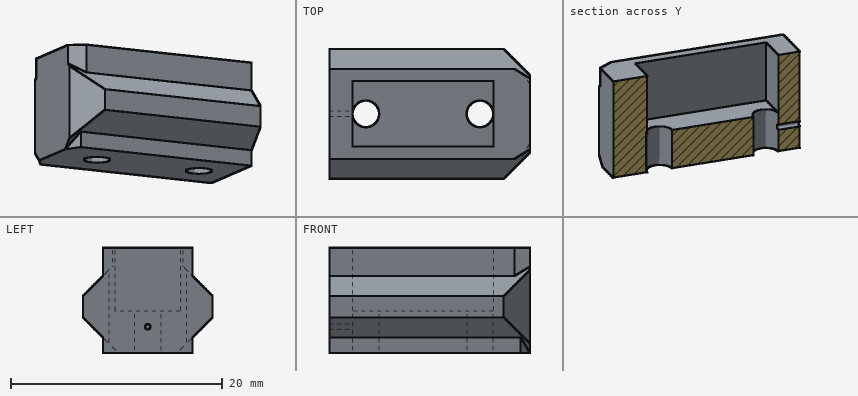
import cadquery as cq

length = 19.0
width = 12.3
height = 10.0

body_width = 8.5
wing_slope_bottom = 1.5
wing_slope_top = 7.3
wing_reach = (width - body_width) / 2
wing_face_bottom = wing_slope_bottom + wing_reach
wing_face_top = wing_slope_top - wing_reach
wing_middle = (wing_face_bottom + wing_face_top) / 2

wing_corner_cut = 2.5
corner_long = 1.5
corner_short = 0.9

pocket_center_x = 8.85
pocket_length = 13.32
pocket_width = 6.2
pocket_depth = 6.0
pocket_floor = height - pocket_depth

floor_hole_diameter = 2.5
floor_hole_spacing = 10.8
wall_hole_diameter = 0.5
wall_hole_height = 2.5
wall_hole_length = pocket_center_x - floor_hole_spacing / 2


def nosed_block(block_width, cut_x, cut_y, bottom, top):
    """Full-length block with both vertical corners cut off at the +X end."""
    half = block_width / 2
    outline = [
        (0, -half),
        (length - cut_x, -half),
        (length, -half + cut_y),
        (length, half - cut_y),
        (length - cut_x, half),
        (0, half),
    ]
    return cq.Workplane("XY", origin=(0, 0, bottom)).polyline(outline).close().extrude(top - bottom)


def wing_bar():
    """Bar with 45-degree flanks whose slopes carry on inwards to the top and bottom of the part."""
    half = width / 2
    top_half = half - (height - wing_face_top)
    bottom_half = half - wing_face_bottom
    section = [
        (-bottom_half, 0),
        (bottom_half, 0),
        (half, wing_face_bottom),
        (half, wing_face_top),
        (top_half, height),
        (-top_half, height),
        (-half, wing_face_top),
        (-half, wing_face_bottom),
    ]
    bar = cq.Workplane("YZ").polyline(section).close().extrude(length)
    return bar.intersect(nosed_block(width, wing_corner_cut, wing_corner_cut, 0, height))


def pocket():
    """Rectangular cavity from the pocket floor up through the top face."""
    floor = cq.Workplane("XY", origin=(pocket_center_x, 0, pocket_floor))
    return floor.rect(pocket_length, pocket_width).extrude(pocket_depth)


def floor_holes():
    """Two vertical through holes, one near each end of the pocket."""
    base = cq.Workplane("XY", origin=(pocket_center_x, 0, 0))
    centers = [(-floor_hole_spacing / 2, 0), (floor_hole_spacing / 2, 0)]
    return base.pushPoints(centers).circle(floor_hole_diameter / 2).extrude(height)


def wall_hole():
    """Small hole along X through the -X wall into the nearer floor hole."""
    start = cq.Workplane("YZ", origin=(0, 0, wall_hole_height))
    return start.circle(wall_hole_diameter / 2).extrude(wall_hole_length)


lower_body = nosed_block(body_width, corner_short, corner_long, 0, wing_middle)
upper_body = nosed_block(body_width, corner_long, corner_short, wing_middle, height)
body = lower_body.union(upper_body).union(wing_bar())
result = body.cut(pocket()).cut(floor_holes()).cut(wall_hole())